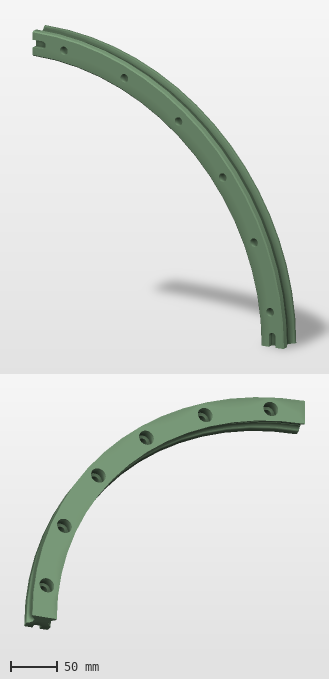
import cadquery as cq
import math

outer_radius = 314.0
rail_width = 28.0
thickness = rail_width
inner_radius = outer_radius - rail_width
mid_radius = outer_radius - rail_width / 2
sweep_angle = 90.0
front_chamfer = 1.3

groove_y = thickness - 11.0
groove_depth = 5.3
groove_floor_half = 3.0
relief_step = 0.5
flank_half = 7.2
flank_radius = 8.2
lip_depth = 1.5
mouth_half = 8.95
lip_radius = 2.2

hole_count = 6
hole_pitch = sweep_angle / hole_count
hole_diameter = 9.5
counterbore_diameter = 17.0
counterbore_depth = 12.2

slot_width = 8.5
slot_length = 16.3
slot_depth = 7.0


def arc_middle(start, end, radius, bulge_direction):
    """Middle of the minor arc from start to end, bulging toward bulge_direction."""
    dx = end[0] - start[0]
    dy = end[1] - start[1]
    chord = math.hypot(dx, dy)
    sagitta = radius - math.sqrt(radius ** 2 - (chord / 2) ** 2)
    normal = (-dy / chord, dx / chord)
    if normal[0] * bulge_direction < 0:
        normal = (-normal[0], -normal[1])
    return (
        (start[0] + end[0]) / 2 + sagitta * normal[0],
        (start[1] + end[1]) / 2 + sagitta * normal[1],
    )


def make_groove_section(face_radius, inward):
    """Groove area cut into one edge face; inward is the radial direction into the rail, +1 or -1."""
    floor = face_radius + inward * groove_depth
    flank_bottom = floor - inward * relief_step
    lip = face_radius + inward * lip_depth

    def at(radius, side, half_width):
        return (radius, groove_y + side * half_width)

    front_mouth, back_mouth = [at(face_radius, side, mouth_half) for side in (-1, 1)]
    front_lip, back_lip = [at(lip, side, flank_half) for side in (-1, 1)]
    front_flank, back_flank = [at(flank_bottom, side, groove_floor_half) for side in (-1, 1)]
    return (
        cq.Workplane("XY")
        .moveTo(*front_mouth)
        .threePointArc(arc_middle(front_mouth, front_lip, lip_radius, -inward), front_lip)
        .threePointArc(arc_middle(front_lip, front_flank, flank_radius, inward), front_flank)
        .lineTo(*at(floor, -1, groove_floor_half))
        .lineTo(*at(floor, 1, groove_floor_half))
        .lineTo(*back_flank)
        .threePointArc(arc_middle(back_flank, back_lip, flank_radius, inward), back_lip)
        .threePointArc(arc_middle(back_lip, back_mouth, lip_radius, -inward), back_mouth)
        .close()
    )


def sweep_around_arc(section):
    """Revolve a section from the X axis up to the Z axis."""
    return section.revolve(sweep_angle, (0, 0), (0, -1))


def make_rail():
    """Square bar with chamfered front edges and a groove in each curved face."""
    outline = [
        (inner_radius + front_chamfer, 0),
        (outer_radius - front_chamfer, 0),
        (outer_radius, front_chamfer),
        (outer_radius, thickness),
        (inner_radius, thickness),
        (inner_radius, front_chamfer),
    ]
    bar = sweep_around_arc(cq.Workplane("XY").polyline(outline).close())
    for face_radius, inward in ((outer_radius, -1), (inner_radius, 1)):
        bar = bar.cut(sweep_around_arc(make_groove_section(face_radius, inward)))
    return bar


def cylinder_along_y(diameter, start_y, length, x, z):
    base = cq.Vector(x, start_y, z)
    return cq.Workplane(cq.Solid.makeCylinder(diameter / 2, length, base, cq.Vector(0, 1, 0)))


def make_hole(angle):
    """Through hole counterbored from the back face."""
    x = mid_radius * math.cos(math.radians(angle))
    z = mid_radius * math.sin(math.radians(angle))
    bore = cylinder_along_y(hole_diameter, 0, thickness, x, z)
    seat_y = thickness - counterbore_depth
    counterbore = cylinder_along_y(counterbore_diameter, seat_y, counterbore_depth, x, z)
    return bore.union(counterbore)


def make_lower_slot():
    """Slot running upward from the end face at Z = 0."""
    nose_z = slot_length - slot_width / 2
    channel = cq.Workplane("XY").box(slot_width, slot_depth, nose_z, centered=(True, False, False))
    channel = channel.translate((mid_radius, 0, 0))
    return channel.union(cylinder_along_y(slot_width, 0, slot_depth, mid_radius, nose_z))


def make_upper_slot():
    """Lower slot mirrored across the bisector of the quarter circle."""
    turned = make_lower_slot().rotate((0, 0, 0), (0, 1, 0), -sweep_angle)
    return turned.mirror("YZ")


result = make_rail()
for index in range(hole_count):
    result = result.cut(make_hole((index + 0.5) * hole_pitch))
result = result.cut(make_lower_slot()).cut(make_upper_slot())